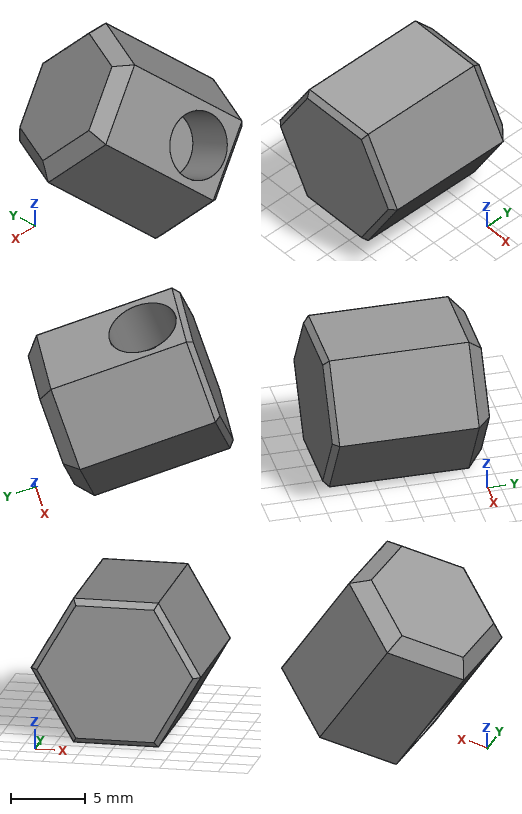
import cadquery as cq
import math

side_count = 6
across_flats = 10.02
body_length = 11.0
front_chamfer = 0.4
back_chamfer = 1.0

hole_diameter = 4.7
hole_depth = 4.0
hole_from_front = 3.0
flat_tilt = math.pi / side_count

apothem = across_flats / 2
across_corners = across_flats / math.cos(math.pi / side_count)


def make_body():
    """Hexagonal prism from Y = 0 to Y = body_length, chamfered at both ends."""
    prism = cq.Workplane("XZ").polygon(side_count, across_corners).extrude(-body_length)
    return prism.faces("<Y").chamfer(front_chamfer).faces(">Y").chamfer(back_chamfer)


def make_side_hole():
    """Flat-bottomed cylinder entering through the lower -X flat."""
    outward = cq.Vector(-math.cos(flat_tilt), 0, -math.sin(flat_tilt))
    flat_center = outward * apothem + cq.Vector(0, hole_from_front, 0)
    hole_plane = cq.Plane(origin=flat_center, xDir=(0, 1, 0), normal=outward)
    return cq.Workplane(hole_plane).circle(hole_diameter / 2).extrude(-hole_depth)


result = make_body().cut(make_side_hole())